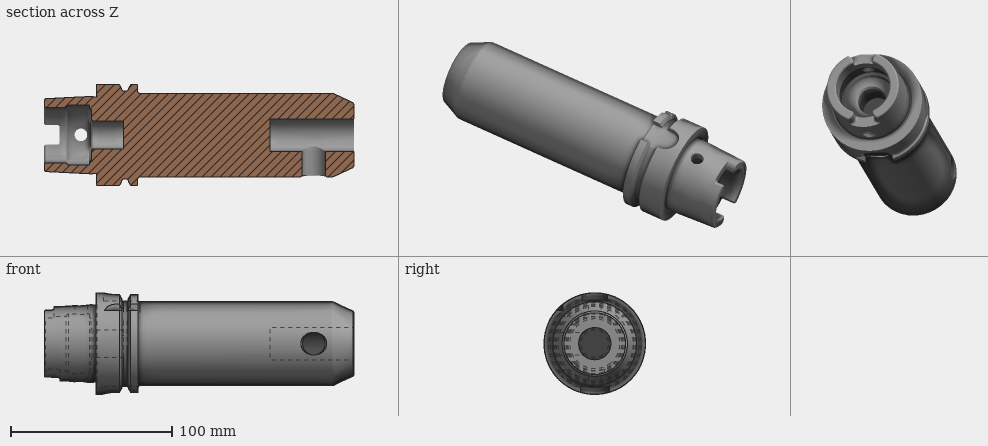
import cadquery as cq
import math


shank_length = 32.0
gauge_radius = 24.0
gauge_distance = 6.3
taper_slope = 0.05
tip_rounding = 1.0
relief_length = 2.5
relief_floor_length = 1.3
relief_depth = 0.3
face_groove_radius = 25.3
face_groove_depth = 0.5

flange_radius = 31.5
flange_width = 26.0
groove_center = 18.0
groove_half_width = 3.5
groove_floor_half_width = 1.9
groove_floor_radius = 27.5
groove_flank_angle = 30.0
groove_corner_radius = 0.8

body_radius = 26.0
body_end = 160.0
body_root_radius = 1.2
nose_cone_start = 147.0
nose_angle = 25.0
nose_blend_radius = 3.0
nose_edge_chamfer = 0.8

drive_half_width = 6.1
drive_flare_radius = 4.2
drive_flare_start = 16.7
drive_corner_radius = 1.5
upper_drive_depth = 5.8
lower_drive_depth = 9.6

mouth_radius = 17.0
mouth_chamfer = 0.7
mouth_length = 13.3
recess_radius = 18.5
recess_slope_length = 1.5
recess_end = 29.0
floor_edge_radius = 16.6
floor_chamfer = 1.1
coolant_radius = 8.5
coolant_chamfer = 1.1
coolant_depth = 20.0

access_position = -9.2
access_radius = 3.9
access_chamfer = 0.5

keyway_floor = 26.5
keyway_center = 12.6
upper_keyway_width = 16.0
lower_keyway_width = 18.0
notch_wall_y = -19.8
notch_floor_z = 20.5
notch_cutter_radius = 8.0
notch_center = 12.3

tool_bore_radius = 10.0
tool_bore_depth = 52.0
screw_position = body_end - 25.0
screw_radius = 7.0
screw_thread_radius = 8.0

clearance = 1.0
selection_slack = 0.1

shank_tip = -shank_length


def taper_radius(x):
    return gauge_radius + taper_slope * (x + gauge_distance)


def revolve_about_x(points):
    """Revolve an outline of (x, radius) points about the X axis."""
    outline = [(x, -radius) for x, radius in points]
    return cq.Workplane("XY").polyline(outline).close().revolve(360, (0, 0, 0), (1, 0, 0))


def circle_at(x, radius):
    """Selector for the circular edges around the X axis at x, up to the given radius."""
    reach = radius + selection_slack
    return cq.selectors.BoxSelector(
        (x - selection_slack, -reach, -reach),
        (x + selection_slack, reach, reach),
        boundingbox=True,
    )


def outer_body():
    relief_start = -relief_length
    relief_radius = taper_radius(relief_start) - relief_depth
    nose_radius = body_radius - (body_end - nose_cone_start) * math.tan(math.radians(nose_angle))
    profile = [
        (shank_tip, 0),
        (shank_tip, taper_radius(shank_tip)),
        (relief_start, taper_radius(relief_start)),
        (-relief_floor_length, relief_radius),
        (face_groove_depth, relief_radius),
        (face_groove_depth, relief_radius + face_groove_depth),
        (0, face_groove_radius),
        (0, flange_radius),
        (flange_width, flange_radius),
        (flange_width, body_radius),
        (nose_cone_start, body_radius),
        (body_end, nose_radius),
        (body_end, 0),
    ]
    body = revolve_about_x(profile)
    body = body.edges(circle_at(flange_width, body_radius)).fillet(body_root_radius)
    body = body.edges(circle_at(nose_cone_start, body_radius)).fillet(nose_blend_radius)
    return body.edges(circle_at(body_end, nose_radius)).chamfer(nose_edge_chamfer)


def gripper_groove():
    flank_run = groove_half_width - groove_floor_half_width
    flank_end_radius = flange_radius - flank_run / math.tan(math.radians(groove_flank_angle))
    profile = [
        (groove_center - groove_half_width, flange_radius),
        (groove_center - groove_floor_half_width, flank_end_radius),
        (groove_center - groove_floor_half_width, groove_floor_radius),
        (groove_center + groove_floor_half_width, groove_floor_radius),
        (groove_center + groove_floor_half_width, flank_end_radius),
        (groove_center + groove_half_width, flange_radius),
    ]
    groove = revolve_about_x(profile)
    floor_edges = groove.edges(cq.selectors.RadiusNthSelector(0))
    return floor_edges.fillet(groove_corner_radius)


def clamping_bore():
    mouth_end = shank_tip + mouth_length
    bore_floor = shank_tip + recess_end
    coolant_end = bore_floor + coolant_depth
    profile = [
        (shank_tip, 0),
        (shank_tip, mouth_radius + mouth_chamfer),
        (shank_tip + mouth_chamfer, mouth_radius),
        (mouth_end, mouth_radius),
        (mouth_end + recess_slope_length, recess_radius),
        (bore_floor - floor_chamfer, recess_radius),
        (bore_floor - floor_chamfer, floor_edge_radius),
        (bore_floor, floor_edge_radius - floor_chamfer),
        (bore_floor, coolant_radius + coolant_chamfer),
        (bore_floor + coolant_chamfer, coolant_radius),
        (coolant_end, coolant_radius),
        (coolant_end, 0),
    ]
    return revolve_about_x(profile)


def drive_notch(depth, side):
    """Notch in the shank tip whose side walls flare outward; side is 1 for +Z, -1 for -Z."""
    half = drive_half_width
    flare_top = drive_flare_start + drive_flare_radius
    flare_half = half + drive_flare_radius
    diagonal = drive_flare_radius * math.sqrt(0.5)
    mid_half = flare_half - diagonal
    mid_z = drive_flare_start + diagonal
    outside_z = taper_radius(0) + clearance
    notch = (
        cq.Workplane("YZ", origin=(shank_tip, 0, 0))
        .moveTo(-half, 0)
        .lineTo(-half, side * drive_flare_start)
        .threePointArc((-mid_half, side * mid_z), (-flare_half, side * flare_top))
        .lineTo(-flare_half, side * outside_z)
        .lineTo(flare_half, side * outside_z)
        .lineTo(flare_half, side * flare_top)
        .threePointArc((mid_half, side * mid_z), (half, side * drive_flare_start))
        .lineTo(half, 0)
        .close()
        .extrude(depth)
    )
    return notch.faces(">X").edges("not |Y").fillet(drive_corner_radius)


def access_hole(side):
    """Chamfered radial hole from the bore outward; side is 1 for +Z, -1 for -Z."""
    outer_z = taper_radius(access_position)
    cone_radius = access_radius + access_chamfer
    profile = [
        (0, 0),
        (access_radius, 0),
        (access_radius, side * (outer_z - access_chamfer)),
        (cone_radius, side * outer_z),
        (cone_radius, side * (outer_z + clearance)),
        (0, side * (outer_z + clearance)),
    ]
    hole = cq.Workplane("XZ").polyline(profile).close().revolve(360, (0, 0, 0), (0, 1, 0))
    return hole.translate((access_position, 0, 0))


def milled_slot(center_x, center_y, floor_z, width, height):
    """Round-ended slot that runs from its end center out through the body side of the flange."""
    run = flange_width - center_x
    base = cq.Workplane("XY", origin=(center_x, center_y, floor_z))
    straight = base.center(run / 2, 0).rect(run, width).extrude(height)
    return straight.union(base.circle(width / 2).extrude(height))


def keyway(width, side):
    height = side * (flange_radius - keyway_floor)
    return milled_slot(keyway_center, 0, side * keyway_floor, width, height)


def orientation_notch():
    center_y = notch_wall_y - notch_cutter_radius
    height = flange_radius - notch_floor_z
    return milled_slot(notch_center, center_y, notch_floor_z, 2 * notch_cutter_radius, height)


def tool_bore():
    return cq.Workplane("YZ", origin=(body_end, 0, 0)).circle(tool_bore_radius).extrude(-tool_bore_depth)


def screw_hole():
    """Clamping screw hole from the -Y side of the body into the tool bore."""
    thread_chamfer = screw_thread_radius - screw_radius
    profile = [
        (0, 0),
        (screw_radius, 0),
        (screw_radius, -body_radius + thread_chamfer),
        (screw_thread_radius, -body_radius),
        (screw_thread_radius, -body_radius - clearance),
        (0, -body_radius - clearance),
    ]
    hole = cq.Workplane("XY").polyline(profile).close().revolve(360, (0, 0, 0), (0, 1, 0))
    return hole.translate((screw_position, 0, 0))


result = outer_body()
result = result.cut(gripper_groove())
for side, depth in ((1, upper_drive_depth), (-1, lower_drive_depth)):
    result = result.cut(drive_notch(depth, side))
result = result.faces("<X").edges().fillet(tip_rounding)
result = result.cut(clamping_bore())
for side, width in ((1, upper_keyway_width), (-1, lower_keyway_width)):
    result = result.cut(access_hole(side))
    result = result.cut(keyway(width, side))
result = result.cut(orientation_notch())
result = result.cut(tool_bore())
result = result.cut(screw_hole())